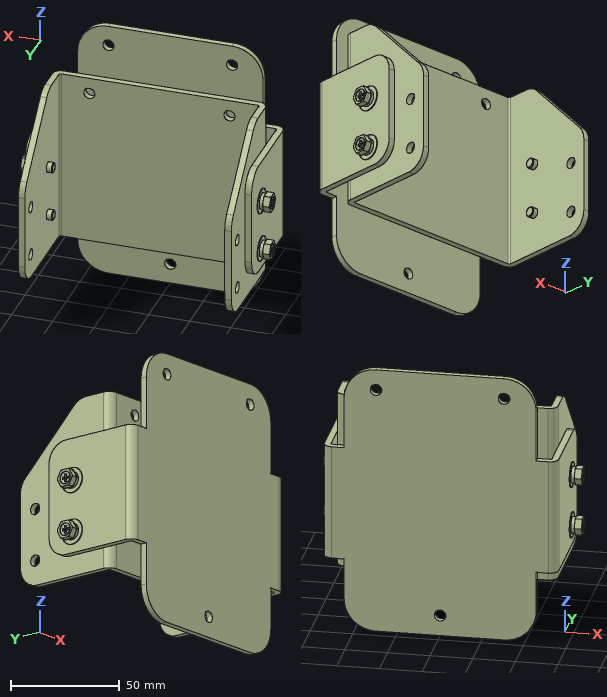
import cadquery as cq
import math

SHEET = 3.2
BEND_INNER_RADIUS = 0.9
BEND_OUTER_RADIUS = BEND_INNER_RADIUS + SHEET
ARM_CORNER_RADIUS = 10.0
HOLE_DIAMETER = 5.3

PLATE_WIDTH = 90.1
PLATE_HEIGHT = 130.0
PLATE_CORNER_RADIUS = 15.0
PLATE_HOLE_X = 30.0
PLATE_HOLE_Z = 55.0
OUTER_WIDTH = 110.1
OUTER_DEPTH = 50.0
OUTER_ARM_TOP = 25.2
OUTER_ARM_BOTTOM = -30.2

INNER_WIDTH = OUTER_WIDTH - 2 * SHEET
INNER_FRONT = 15.9
INNER_BACK = 70.0
INNER_TOP = 45.2
INNER_BOTTOM = -40.2
INNER_ARM_CHAMFER = 35.1
WALL_HOLE_X = 34.0
WALL_HOLE_Z = 37.3
ARM_HOLE_Y = 61.1
ARM_HOLE_TOP_Z = -3.1

HOLE_PITCH = 25.0
SCREW_Y = 36.0
SCREW_TOP_Z = 5.0
SCREW_DIAMETER = 5.0
TIP_CHAMFER = 0.4
TIP_LENGTH = 2.9
FLANGE_DIAMETER = 12.1
FLANGE_THICKNESS = 0.4
COLLAR_DIAMETER = 7.9
COLLAR_LENGTH = 1.7
HEAD_ACROSS_FLATS = 8.0
HEAD_LENGTH = 3.4
HEAD_FACE_DIAMETER = 8.7
HEAD_CHAMFER_ANGLE = 30.0
DISH_DIAMETER = 6.0
DISH_DEPTH = 0.4
RECESS_SPAN = 3.6
RECESS_SLOT_WIDTH = 1.0
RECESS_DEPTH = 1.3

ARM_HOLES = [(ARM_HOLE_Y, ARM_HOLE_TOP_Z), (ARM_HOLE_Y, ARM_HOLE_TOP_Z - HOLE_PITCH)]
SCREW_POINTS = [(SCREW_Y, SCREW_TOP_Z), (SCREW_Y, SCREW_TOP_Z - HOLE_PITCH)]


def box_between(x_min, x_max, y_min, y_max, z_min, z_max):
    size = (x_max - x_min, y_max - y_min, z_max - z_min)
    return cq.Workplane().box(*size, centered=False).translate((x_min, y_min, z_min))


def folded_channel(width, front, back, bottom, top):
    """U-shaped channel: a front wall along X and two arms running toward +Y."""
    half = width / 2
    outside = box_between(-half, half, front, back, bottom, top)
    outside = outside.edges("|Z and <Y").fillet(BEND_OUTER_RADIUS)
    inside = box_between(-half + SHEET, half - SHEET, front + SHEET, back + SHEET, bottom, top)
    inside = inside.edges("|Z and <Y").fillet(BEND_INNER_RADIUS)
    return outside.cut(inside)


def cylinders_along_x(points, diameter):
    """Cutters through the full width at the given (Y, Z) points."""
    return cq.Workplane("YZ").pushPoints(points).circle(diameter / 2).extrude(OUTER_WIDTH / 2, both=True)


def cylinders_along_y(points, diameter):
    """Cutters through the front walls at the given (X, Z) points."""
    return cq.Workplane("XZ").pushPoints(points).circle(diameter / 2).extrude(-INNER_BACK)


def make_outer_bracket():
    channel = folded_channel(OUTER_WIDTH, 0, OUTER_DEPTH, OUTER_ARM_BOTTOM, OUTER_ARM_TOP)
    channel = channel.edges("|X and >Y").fillet(ARM_CORNER_RADIUS)
    plate = cq.Workplane("XZ").rect(PLATE_WIDTH, PLATE_HEIGHT).extrude(-SHEET)
    plate = plate.edges("|Y").fillet(PLATE_CORNER_RADIUS)
    plate_holes = [(-PLATE_HOLE_X, PLATE_HOLE_Z), (PLATE_HOLE_X, PLATE_HOLE_Z), (0, -PLATE_HOLE_Z)]
    bracket = channel.union(plate)
    bracket = bracket.cut(cylinders_along_y(plate_holes, HOLE_DIAMETER))
    return bracket.cut(cylinders_along_x(SCREW_POINTS, SCREW_DIAMETER))


def make_inner_bracket():
    channel = folded_channel(INNER_WIDTH, INNER_FRONT, INNER_BACK, INNER_BOTTOM, INNER_TOP)
    arm_outline = (
        cq.Workplane("YZ")
        .moveTo(INNER_FRONT, INNER_BOTTOM)
        .lineTo(INNER_BACK, INNER_BOTTOM)
        .lineTo(INNER_BACK, INNER_TOP - INNER_ARM_CHAMFER)
        .lineTo(INNER_BACK - INNER_ARM_CHAMFER, INNER_TOP)
        .lineTo(INNER_FRONT, INNER_TOP)
        .close()
        .extrude(INNER_WIDTH / 2, both=True)
    )
    free_end = cq.selectors.BoxSelector(
        (-INNER_WIDTH, INNER_FRONT + SHEET, INNER_BOTTOM - SHEET),
        (INNER_WIDTH, INNER_BACK + SHEET, INNER_TOP + SHEET),
    )
    arm_outline = arm_outline.edges("|X").edges(free_end).fillet(ARM_CORNER_RADIUS)
    wall_holes = [(-WALL_HOLE_X, WALL_HOLE_Z), (WALL_HOLE_X, WALL_HOLE_Z)]
    bracket = channel.intersect(arm_outline)
    bracket = bracket.cut(cylinders_along_y(wall_holes, HOLE_DIAMETER))
    bracket = bracket.cut(cylinders_along_x(ARM_HOLES, HOLE_DIAMETER))
    return bracket.cut(cylinders_along_x(SCREW_POINTS, SCREW_DIAMETER))


def make_screw():
    """Flanged hex-head screw along X, seated on X = 0 with its head toward +X."""
    shank_length = 2 * SHEET + TIP_LENGTH
    shank = cq.Workplane("YZ").circle(SCREW_DIAMETER / 2).extrude(-shank_length)
    shank = shank.faces("<X").chamfer(TIP_CHAMFER)
    flange = cq.Workplane("YZ").circle(FLANGE_DIAMETER / 2).extrude(FLANGE_THICKNESS)
    head_start = FLANGE_THICKNESS + COLLAR_LENGTH
    collar = cq.Workplane("YZ").circle(COLLAR_DIAMETER / 2).extrude(head_start)

    corner_diameter = HEAD_ACROSS_FLATS / math.cos(math.pi / 6)
    head = cq.Workplane("YZ", origin=(head_start, 0, 0)).polygon(6, corner_diameter).extrude(HEAD_LENGTH)
    chamfer_run = (corner_diameter - HEAD_FACE_DIAMETER) / 2
    chamfer_drop = chamfer_run * math.tan(math.radians(HEAD_CHAMFER_ANGLE))
    envelope = cq.Workplane("YZ", origin=(head_start, 0, 0)).circle(corner_diameter / 2).extrude(HEAD_LENGTH)
    envelope = envelope.faces(">X").chamfer(chamfer_drop, chamfer_run)
    head = head.intersect(envelope)

    face_plane = cq.Workplane("YZ", origin=(head_start + HEAD_LENGTH, 0, 0))
    total_depth = DISH_DEPTH + RECESS_DEPTH
    head = head.cut(face_plane.circle(DISH_DIAMETER / 2).extrude(-DISH_DEPTH))
    head = head.cut(face_plane.rect(RECESS_SPAN, RECESS_SLOT_WIDTH).extrude(-total_depth))
    head = head.cut(face_plane.rect(RECESS_SLOT_WIDTH, RECESS_SPAN).extrude(-total_depth))
    return shank.union(flange).union(collar).union(head)


outer_bracket = make_outer_bracket()
inner_bracket = make_inner_bracket()

screws = []
for screw_y, screw_z in SCREW_POINTS:
    right_screw = make_screw().translate((OUTER_WIDTH / 2, screw_y, screw_z))
    screws.append(right_screw)
    screws.append(right_screw.mirror("YZ"))

result = cq.Compound.makeCompound(
    [outer_bracket.val(), inner_bracket.val(), *[screw.val() for screw in screws]]
)